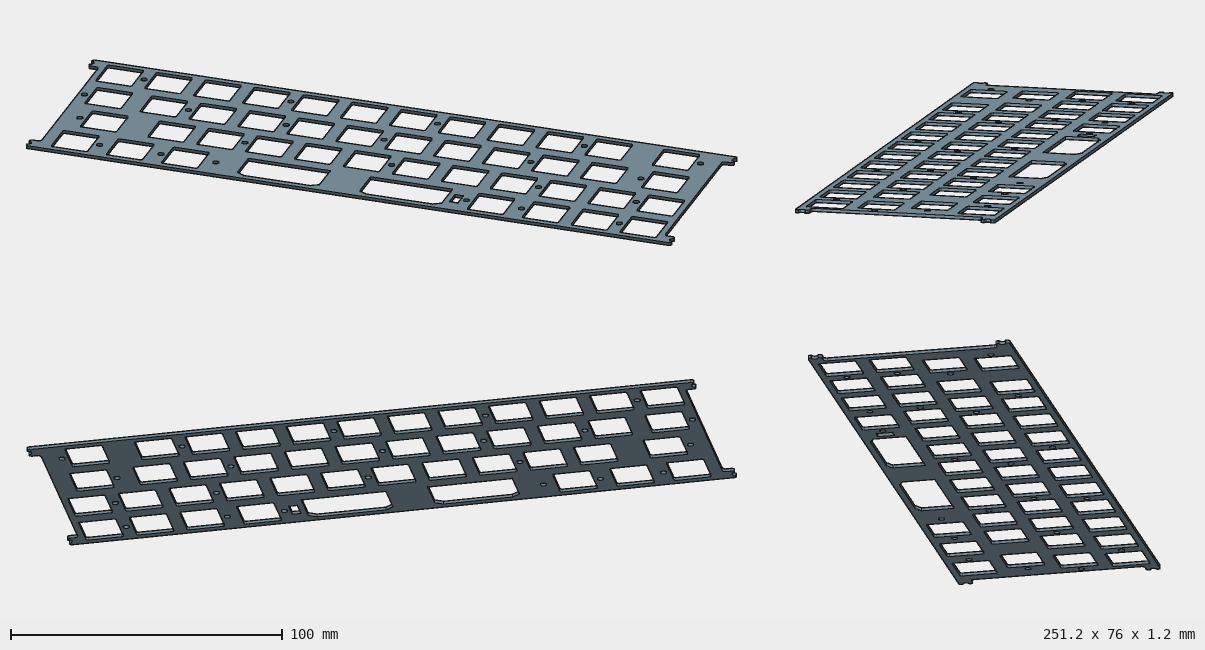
import cadquery as cq

length = 251.2
depth = 76.0
thickness = 1.2
field_length = 243.0

quarters_per_row = 51
quarter = field_length / quarters_per_row
eighth = quarter / 2
pitch = 4 * quarter

switch_size = 14.0
switch_corner_radius = 0.8

space_bar_quarters = 20

key_rows = [
    [4] * 11 + [7],
    [5] + [4] * 10 + [6],
    [7] + [4] * 11,
    [5, 4, 5, space_bar_quarters, 5, 4, 4, 4],
]
back_row_y = (len(key_rows) - 1) / 2 * pitch

hole_diameter = 2.24
hole_rows = [
    [8, 32, 56, 80, 99],
    [1, 18, 34, 50, 74, 92],
    [3, 30, 54, 78, 94],
    [9, 19, 28, 69, 78, 94],
]

window_places = [39, 59]
window_width = 32.0
window_cut_x = 3.0
window_cut_y = 1.8

slot_x = 39.0
slot_width = 3.3
slot_depth = 6.3

recess_depth = (length - field_length) / 2
ear_width = 5.3
ear_inner_radius = 1.3
ear_tip_radius = 1.0
notch_diameter = 2.5
notch_edge_distance = ear_width / 2


def row_y(row):
    """Y of a row centre line, counted from the back row."""
    return back_row_y - row * pitch


def place_x(eighths):
    """X of a place given in eighth pitches from the left end of the key field."""
    return eighths * eighth - field_length / 2


front_row_y = row_y(len(key_rows) - 1)


def switch_centres():
    centres = []
    for row, widths in enumerate(key_rows):
        left = 0
        for width in widths:
            if width != space_bar_quarters:
                centres.append((place_x(2 * left + width), row_y(row)))
            left += width
    return centres


def hole_centres():
    return [(place_x(place), row_y(row)) for row, places in enumerate(hole_rows) for place in places]


def plate_blank():
    blank = cq.Workplane("XY").rect(length, depth).extrude(thickness)
    ends = [(-length / 2, 0), (length / 2, 0)]
    recesses = cq.Workplane("XY").pushPoints(ends).rect(2 * recess_depth, depth - 2 * ear_width)
    recesses = recesses.extrude(thickness).edges("|Z").fillet(ear_inner_radius)
    return blank.cut(recesses).edges("|Z and (<X or >X)").fillet(ear_tip_radius)


def ear_notches():
    notch_y = depth / 2 - notch_edge_distance
    tips = [(x, y) for x in (-length / 2, length / 2) for y in (-notch_y, notch_y)]
    return cq.Workplane("XY").pushPoints(tips).circle(notch_diameter / 2).extrude(thickness)


def switch_cutouts():
    squares = cq.Workplane("XY").pushPoints(switch_centres()).rect(switch_size, switch_size)
    return squares.extrude(thickness).edges("|Z").fillet(switch_corner_radius)


def round_holes():
    return cq.Workplane("XY").pushPoints(hole_centres()).circle(hole_diameter / 2).extrude(thickness)


def space_bar_windows():
    half_width = window_width / 2
    half_depth = switch_size / 2
    outline = [
        (-half_width, half_depth),
        (half_width, half_depth),
        (half_width, window_cut_y - half_depth),
        (half_width - window_cut_x, -half_depth),
        (window_cut_x - half_width, -half_depth),
        (-half_width, window_cut_y - half_depth),
    ]
    window = cq.Workplane("XY").polyline(outline).close().extrude(thickness)
    windows = cq.Workplane("XY")
    for place in window_places:
        windows = windows.add(window.translate((place_x(place), front_row_y, 0)))
    return windows.combine()


def slot():
    return cq.Workplane("XY").center(slot_x, front_row_y).rect(slot_width, slot_depth).extrude(thickness)


result = plate_blank()
for cutter in (
    ear_notches(),
    switch_cutouts(),
    round_holes(),
    space_bar_windows(),
    slot(),
):
    result = result.cut(cutter)